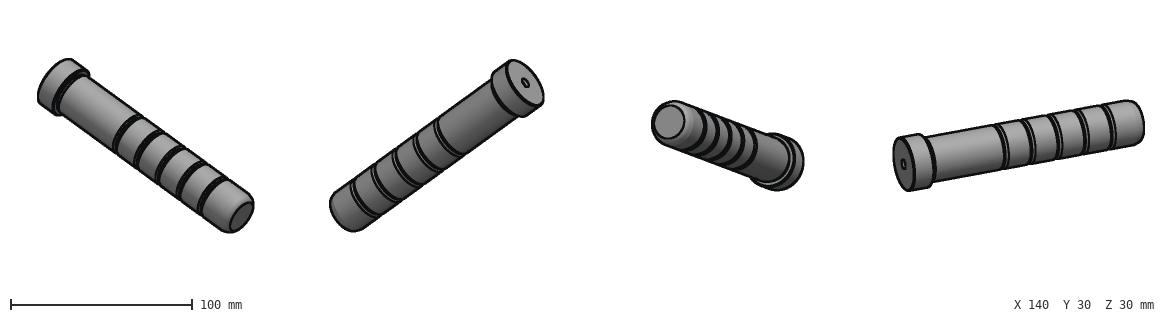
import cadquery as cq
import math

length = 140.0
head_diameter = 30.0
head_length = 12.0
head_chamfer = 0.5
shank_radius = 25.0 / 2

neck_depth = 0.5
neck_end = 14.0

groove_count = 5
first_groove = 54.7
last_groove = 118.7
groove_width = 3.0
groove_depth = 0.7
groove_cone_length = 1.3
groove_pitch = (last_groove - first_groove) / (groove_count - 1)

nose_start = 135.0
nose_cone_length = 2.5
nose_angle = math.radians(17)
end_face_radius = 9.2

center_mouth_radius = 5.3 / 2
center_bore_radius = 3.2 / 2
center_bore_length = 3.4
countersink_half_angle = math.radians(30)
drill_half_angle = math.radians(59)


def make_head():
    head = cq.Workplane("YZ").circle(head_diameter / 2).extrude(head_length)
    return head.faces("<X or >X").chamfer(head_chamfer)


def make_shank():
    neck_radius = shank_radius - neck_depth
    cone_end = nose_start + nose_cone_length
    cone_end_radius = shank_radius - nose_cone_length * math.tan(nose_angle)

    return (
        cq.Workplane("XY")
        .moveTo(0, 0)
        .lineTo(0, neck_radius)
        .lineTo(head_length, neck_radius)
        .tangentArcPoint((neck_end, shank_radius), relative=False)
        .lineTo(nose_start, shank_radius)
        .lineTo(cone_end, cone_end_radius)
        .tangentArcPoint((length, end_face_radius), relative=False)
        .lineTo(length, 0)
        .close()
        .revolve(360, (0, 0, 0), (1, 0, 0))
    )


def make_groove(start_x):
    end_x = start_x + groove_width
    floor_x = start_x + groove_cone_length
    floor_radius = shank_radius - groove_depth
    arc_run = end_x - floor_x
    arc_radius = (arc_run**2 + groove_depth**2) / (2 * groove_depth)
    half_angle = math.asin(arc_run / arc_radius) / 2
    arc_mid = (
        floor_x + arc_radius * math.sin(half_angle),
        floor_radius + arc_radius * (1 - math.cos(half_angle)),
    )
    return (
        cq.Workplane("XY")
        .moveTo(start_x, shank_radius)
        .lineTo(floor_x, floor_radius)
        .threePointArc(arc_mid, (end_x, shank_radius))
        .close()
        .revolve(360, (0, 0, 0), (1, 0, 0))
    )


def make_center_hole():
    sink_depth = (center_mouth_radius - center_bore_radius) / math.tan(countersink_half_angle)
    bore_end = sink_depth + center_bore_length
    tip = bore_end + center_bore_radius / math.tan(drill_half_angle)
    profile = [
        (0, 0),
        (0, center_mouth_radius),
        (sink_depth, center_bore_radius),
        (bore_end, center_bore_radius),
        (tip, 0),
    ]
    return cq.Workplane("XY").polyline(profile).close().revolve(360, (0, 0, 0), (1, 0, 0))


result = make_head().union(make_shank())
for index in range(groove_count):
    result = result.cut(make_groove(first_groove + index * groove_pitch))
result = result.cut(make_center_hole())